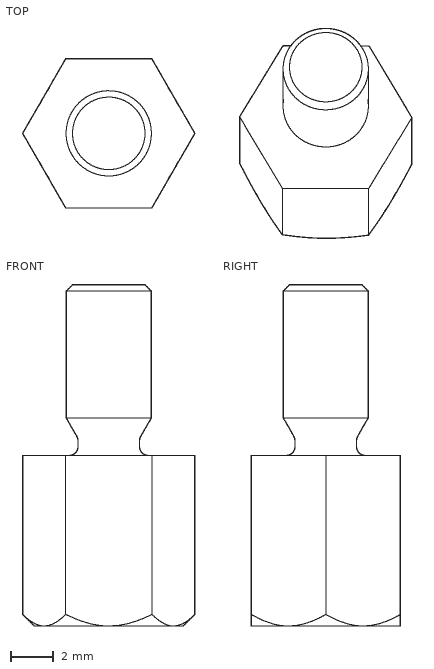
import cadquery as cq
import math

across_flats = 7.0
body_height = 8.0
hexagon_half_angle = math.radians(30)
across_corners = across_flats / math.cos(hexagon_half_angle)

stud_diameter = 4.0
stud_length = 8.0
tip_chamfer = 0.3

neck_diameter = 2.9
undercut_height = 1.75
cone_angle = math.radians(30)
undercut_fillet = 0.4


def hexagonal_body():
    """Hexagonal prism whose bottom corners are turned off by a 45 degree cone."""
    prism = cq.Workplane("XY").polygon(6, across_corners).extrude(body_height)
    corner_chamfer = (across_corners - across_flats) / 2
    turned_blank = (
        cq.Workplane("XY")
        .circle(across_corners / 2)
        .extrude(body_height)
        .faces("<Z")
        .chamfer(corner_chamfer)
    )
    return prism.intersect(turned_blank)


def stud():
    """Turned stud with a filleted undercut at its root and a chamfered tip."""
    stud_radius = stud_diameter / 2
    neck_radius = neck_diameter / 2
    neck_height = undercut_height - (stud_radius - neck_radius) / math.tan(cone_angle)

    tangent_length = undercut_fillet * math.tan(cone_angle / 2)
    fillet_start = (neck_radius, neck_height - tangent_length)
    fillet_end = (
        neck_radius + tangent_length * math.sin(cone_angle),
        neck_height + tangent_length * math.cos(cone_angle),
    )

    profile = (
        cq.Workplane("XZ", origin=(0, 0, body_height))
        .lineTo(neck_radius + undercut_fillet, 0)
        .radiusArc((neck_radius, undercut_fillet), undercut_fillet)
        .lineTo(*fillet_start)
        .radiusArc(fillet_end, undercut_fillet)
        .lineTo(stud_radius, undercut_height)
        .lineTo(stud_radius, stud_length - tip_chamfer)
        .lineTo(stud_radius - tip_chamfer, stud_length)
        .lineTo(0, stud_length)
        .close()
    )
    return profile.revolve(360, (0, 0, 0), (0, 1, 0))


result = hexagonal_body().union(stud())